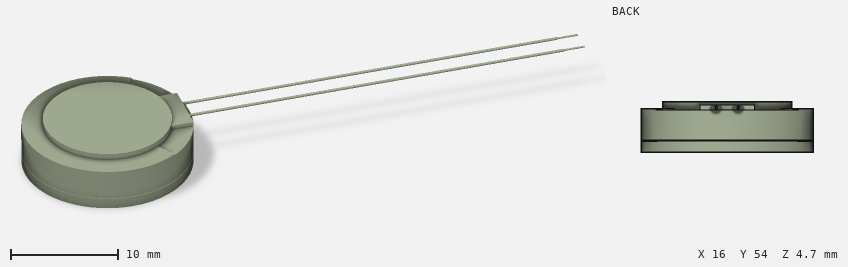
import cadquery as cq

body_diameter = 16.0
body_radius = body_diameter / 2
rim_height = 4.05
total_height = 4.7
cap_diameter = 12.0

groove_bottom = 1.0
groove_height = 0.1
groove_diameter = 13.0

recess_half_angle = 56
recess_depth = 0.135
recess_floor = rim_height - recess_depth

block_width = 5.1
block_front = 7.55
block_top = 4.4

overall_length = 54
lead_spacing = 2.05
lead_height = (recess_floor + block_top) / 2
wire_diameter = 0.265
tip_diameter = 0.18
tip_length = 2.0
lead_end = overall_length - body_radius
wire_end = lead_end - tip_length
lead_start = cap_diameter / 2


def disc(diameter, bottom, top):
    """Upright cylinder on the Z axis."""
    return cq.Workplane("XY").workplane(offset=bottom).circle(diameter / 2).extrude(top - bottom)


def rod(diameter, x, start, end):
    """Cylinder along +Y at the height of the leads."""
    axis_start = cq.Vector(x, start, lead_height)
    return cq.Workplane(cq.Solid.makeCylinder(diameter / 2, end - start, axis_start, cq.Vector(0, 1, 0)))


def rim_recess():
    """Sector opening symmetrically about +Y, reaching down to the recess floor."""
    sector = cq.Solid.makeCylinder(
        body_diameter, total_height, cq.Vector(0, 0, recess_floor), cq.Vector(0, 0, 1), 2 * recess_half_angle
    )
    return cq.Workplane(sector).rotate((0, 0, 0), (0, 0, 1), 90 - recess_half_angle)


def anchor_block():
    """Block running from the cap to its flat front face."""
    return (
        cq.Workplane("XY")
        .workplane(offset=recess_floor)
        .center(0, block_front / 2)
        .rect(block_width, block_front)
        .extrude(block_top - recess_floor)
    )


body = disc(body_diameter, 0, rim_height)
groove_top = groove_bottom + groove_height
groove = disc(body_diameter, groove_bottom, groove_top).cut(disc(groove_diameter, groove_bottom, groove_top))
body = body.cut(groove).cut(rim_recess())

result = body.union(disc(cap_diameter, 0, total_height)).union(anchor_block())
for side in (-1, 1):
    lead_x = side * lead_spacing / 2
    result = result.union(rod(wire_diameter, lead_x, lead_start, wire_end))
    result = result.union(rod(tip_diameter, lead_x, lead_start, lead_end))